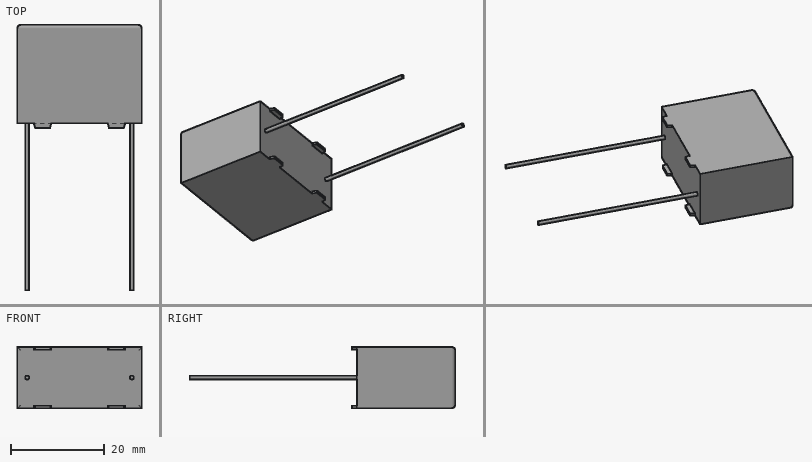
import cadquery as cq

overall_length = 57.1

housing_width = 26.8
housing_depth = 21.2
housing_height = 13.2
back_edge_radius = 0.8

foot_spacing = 15.9
foot_base_width = 3.8
foot_tip_width = 3.2
foot_length = 1.0
foot_thickness = 0.55

lead_spacing = 22.5
lead_diameter = 0.85
lead_length = overall_length - housing_depth


def make_foot(center_x, bottom_z):
    """Tapered foot that narrows from the lead face toward its tip."""
    base_half = foot_base_width / 2
    tip_half = foot_tip_width / 2
    return (
        cq.Workplane("XY", origin=(center_x, 0, bottom_z))
        .moveTo(-base_half, 0)
        .lineTo(-tip_half, -foot_length)
        .lineTo(tip_half, -foot_length)
        .lineTo(base_half, 0)
        .close()
        .extrude(foot_thickness)
    )


def make_housing():
    """Box with all edges of its back face rounded and four feet on its lead face."""
    housing = (
        cq.Workplane("XY")
        .box(housing_width, housing_depth, housing_height, centered=(True, False, True))
        .faces(">Y")
        .edges()
        .fillet(back_edge_radius)
    )
    lower_foot_z = -housing_height / 2
    upper_foot_z = housing_height / 2 - foot_thickness
    for center_x in (-foot_spacing / 2, foot_spacing / 2):
        for bottom_z in (lower_foot_z, upper_foot_z):
            housing = housing.union(make_foot(center_x, bottom_z))
    return housing


def make_lead(center_x):
    """Straight round wire that starts on the lead face and runs toward -Y."""
    return (
        cq.Workplane("XZ", origin=(center_x, 0, 0))
        .circle(lead_diameter / 2)
        .extrude(lead_length)
    )


housing = make_housing()
leads = [make_lead(center_x) for center_x in (-lead_spacing / 2, lead_spacing / 2)]

result = cq.Compound.makeCompound([housing.val(), *[lead.val() for lead in leads]])